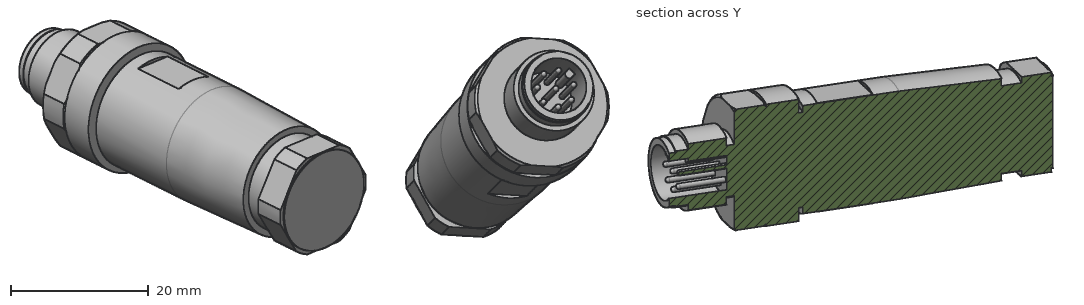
import cadquery as cq
import math

TOTAL_LENGTH = 60.0

TIP_END = 1.0
SLEEVE_END = 3.0
COLLAR_END = 9.0
FRONT_NECK_END = 10.15
COUPLING_HEX_END = 15.2
COUPLING_RING_END = 20.3
BODY_START = 20.8
TAPER_START = 35.9
TAPER_END = 51.95
NUT_START = 55.0
NUT_END = 59.75

TIP_DIAMETER = 10.25
SLEEVE_DIAMETER = 10.55
COLLAR_DIAMETER = 12.0
FRONT_NECK_DIAMETER = 10.0
COUPLING_DIAMETER = 20.05
MIDDLE_NECK_DIAMETER = 16.1
BODY_DIAMETER = 18.0
TAPER_END_DIAMETER = 17.1
REAR_NECK_DIAMETER = 15.0
NUT_DIAMETER = 16.85

COUPLING_ACROSS_FLATS = 19.0
COUPLING_CHAMFER = 0.35
NUT_ACROSS_FLATS = 15.65
NUT_RIM_DIAMETER = 15.6

PAD_START = 23.15
PAD_END = 31.85
PAD_ACROSS = 17.05

SOCKET_DIAMETER = 8.2
SOCKET_DEPTH = 9.0
KEY_ANGLE = 48.5
KEY_RADIUS = 0.6
KEY_OFFSET = 3.4
KEY_START = 3.0
PIN_DIAMETER = 0.85
PIN_CIRCLE_DIAMETER = 5.5
PIN_SPACING_ANGLE = 49.0
OUTER_PIN_COUNT = 7
PIN_START = 1.4


def cylinder(start, end, diameter, y=0.0, z=0.0):
    """Cylinder along X from start to end."""
    return cq.Workplane("YZ", origin=(start, y, z)).circle(diameter / 2).extrude(end - start)


def hexagon(start, end, across_flats):
    """Hexagonal bar along X with flats facing +Z and -Z."""
    across_corners = across_flats / math.cos(math.radians(30))
    return cq.Workplane("YZ", origin=(start, 0, 0)).polygon(6, across_corners).extrude(end - start)


def coupling_hex():
    """Grip hexagon with rounded corners that are chamfered at both ends."""
    rounding = cylinder(FRONT_NECK_END, COUPLING_HEX_END, COUPLING_DIAMETER)
    rounding = rounding.edges("%CIRCLE").chamfer(COUPLING_CHAMFER)
    return hexagon(FRONT_NECK_END, COUPLING_HEX_END, COUPLING_ACROSS_FLATS).intersect(rounding)


def nut():
    """Rounded hexagon with a thin round rim on its rear face."""
    rounding = cylinder(NUT_START, NUT_END, NUT_DIAMETER)
    hex_part = hexagon(NUT_START, NUT_END, NUT_ACROSS_FLATS).intersect(rounding)
    return hex_part.union(cylinder(NUT_END, TOTAL_LENGTH, NUT_RIM_DIAMETER))


def taper():
    """Rear of the body, blended between two circles."""
    return (
        cq.Workplane("YZ", origin=(TAPER_START, 0, 0))
        .circle(BODY_DIAMETER / 2)
        .workplane(offset=TAPER_END - TAPER_START)
        .circle(TAPER_END_DIAMETER / 2)
        .loft()
    )


def body():
    """Barrel with a flat recessed pad on its top and its bottom."""
    barrel = cylinder(BODY_START, TAPER_START, BODY_DIAMETER)
    pad_length = PAD_END - PAD_START
    pad_middle = (PAD_START + PAD_END) / 2
    cutter_height = (PAD_ACROSS + BODY_DIAMETER) / 2
    for side in (1, -1):
        cutter = cq.Workplane("XY").box(pad_length, BODY_DIAMETER, BODY_DIAMETER)
        barrel = barrel.cut(cutter.translate((pad_middle, 0, side * cutter_height)))
    return barrel


def polar(radius, angle):
    """Y and Z at an angle measured from -Y towards +Z."""
    return -radius * math.cos(math.radians(angle)), radius * math.sin(math.radians(angle))


def key():
    """Rib along the socket wall with a round nose pointing at the axis."""
    wall_radius = (SOCKET_DIAMETER + TIP_DIAMETER) / 4
    rib = (
        cq.Workplane("YZ", origin=(KEY_START, 0, 0))
        .moveTo(-wall_radius, KEY_RADIUS)
        .lineTo(-KEY_OFFSET, KEY_RADIUS)
        .threePointArc((-KEY_OFFSET + KEY_RADIUS, 0), (-KEY_OFFSET, -KEY_RADIUS))
        .lineTo(-wall_radius, -KEY_RADIUS)
        .close()
        .extrude(SOCKET_DEPTH - KEY_START)
    )
    return rib.rotate((0, 0, 0), (1, 0, 0), -KEY_ANGLE)


def pin(y, z):
    """Contact pin with a domed tip."""
    dome_center = PIN_START + PIN_DIAMETER / 2
    dome = cq.Workplane("XY").sphere(PIN_DIAMETER / 2).translate((dome_center, y, z))
    return cylinder(dome_center, SOCKET_DEPTH, PIN_DIAMETER, y, z).union(dome)


def contact_pins():
    """One pin on the axis and an arc of pins with its gap at the key."""
    pins = [pin(0, 0)]
    first_angle = KEY_ANGLE + 180 - PIN_SPACING_ANGLE * (OUTER_PIN_COUNT - 1) / 2
    for index in range(OUTER_PIN_COUNT):
        y, z = polar(PIN_CIRCLE_DIAMETER / 2, first_angle + index * PIN_SPACING_ANGLE)
        pins.append(pin(y, z))
    return pins


outside_sections = [
    cylinder(TIP_END, SLEEVE_END, SLEEVE_DIAMETER),
    cylinder(SLEEVE_END, COLLAR_END, COLLAR_DIAMETER),
    cylinder(COLLAR_END, FRONT_NECK_END, FRONT_NECK_DIAMETER),
    coupling_hex(),
    cylinder(COUPLING_HEX_END, COUPLING_RING_END, COUPLING_DIAMETER),
    cylinder(COUPLING_RING_END, BODY_START, MIDDLE_NECK_DIAMETER),
    body(),
    taper(),
    cylinder(TAPER_END, NUT_START, REAR_NECK_DIAMETER),
    nut(),
]
result = cylinder(0, TIP_END, TIP_DIAMETER)
for section in outside_sections:
    result = result.union(section)

result = result.cut(cylinder(0, SOCKET_DEPTH, SOCKET_DIAMETER))
for insert in [key()] + contact_pins():
    result = result.union(insert)